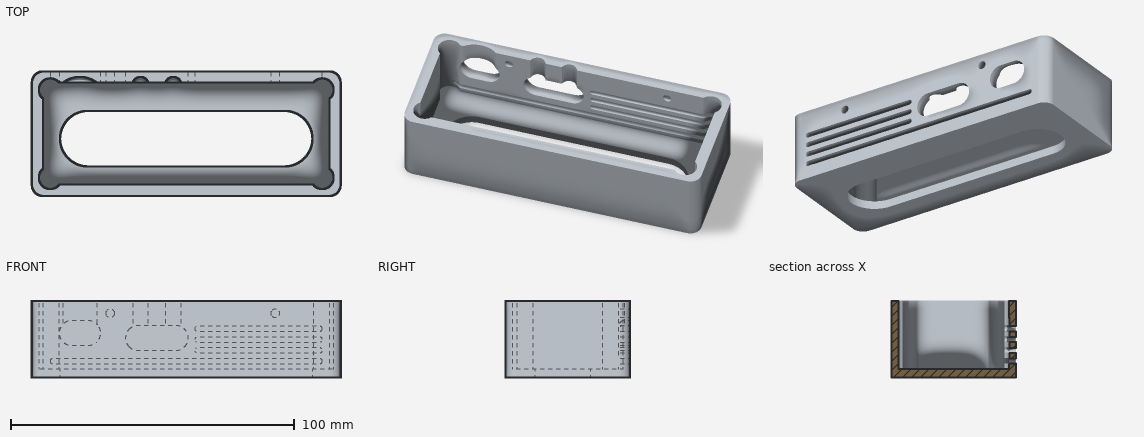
import cadquery as cq

length = 109.0
width = 44.0
height = 27.0
outer_radius = 4.0
wall = 4.0
floor = 3.0

relief_radius = 4.0
relief_inset = 6.5

opening_length = 88.9
opening_width = 19.5
opening_y = -1.7

window_height = 8.9
large_window_z = 14.0
recess_skin = 2.0
small_window_x = -37.5
small_window_z = 15.7
small_window_length = 14.5
small_recess_radius = 9.6
large_window_x = -10.4
large_window_length = 22.0
large_recess_radius = 2.8
large_recess_offset = 5.8

screw_diameter = 3.0
screw_z = height - 4.4
screw_positions = (-26.8, 31.4)

vent_height = 2.0
vent_pitch = 3.8
short_vent_count = 3
lowest_vent_z = 5.8
vent_start = 3.0
vent_end = 48.0

back_y = width / 2
cavity_length = length - 2 * wall
cavity_width = width - 2 * wall
cavity_depth = height - floor
relief_spacing_x = length - 2 * relief_inset
relief_spacing_y = width - 2 * relief_inset


def back_wall_plane(x, z):
    """Sketch plane on the outer back face, facing into the box."""
    return cq.Workplane(cq.Plane(origin=(x, back_y, z), xDir=(1, 0, 0), normal=(0, -1, 0)))


def back_wall_slot(x, z, slot_length, slot_height):
    """Horizontal round-ended cutter that spans the back wall and its corner reliefs."""
    return back_wall_plane(x, z).slot2D(slot_length, slot_height).extrude(wall)


def rim_recess(x, window_z, radius):
    """Vertical round recess from the rim to the window center, leaving a thin outer skin."""
    center_y = back_y - recess_skin - radius
    return cq.Workplane("XY", origin=(x, center_y, window_z)).circle(radius).extrude(height - window_z)


def make_shell():
    body = cq.Workplane("XY").box(length, width, height, centered=(True, True, False))
    body = body.edges("|Z").fillet(outer_radius)
    floor_plane = cq.Workplane("XY", origin=(0, 0, floor))
    cavity = floor_plane.rect(cavity_length, cavity_width).extrude(cavity_depth)
    reliefs = (
        floor_plane.rect(relief_spacing_x, relief_spacing_y, forConstruction=True)
        .vertices()
        .circle(relief_radius)
        .extrude(cavity_depth)
    )
    opening = cq.Workplane("XY").center(0, opening_y).slot2D(opening_length, opening_width).extrude(floor)
    return body.cut(cavity).cut(reliefs).cut(opening)


def cut_windows(body):
    body = body.cut(back_wall_slot(small_window_x, small_window_z, small_window_length, window_height))
    body = body.cut(rim_recess(small_window_x, small_window_z, small_recess_radius))
    body = body.cut(back_wall_slot(large_window_x, large_window_z, large_window_length, window_height))
    for side in (-1, 1):
        recess_x = large_window_x + side * large_recess_offset
        body = body.cut(rim_recess(recess_x, large_window_z, large_recess_radius))
    return body


def cut_screw_holes(body):
    for x in screw_positions:
        body = body.cut(back_wall_plane(x, screw_z).circle(screw_diameter / 2).extrude(wall))
    return body


def cut_vents(body):
    body = body.cut(back_wall_slot(0, lowest_vent_z, 2 * vent_end, vent_height))
    short_vent_x = (vent_start + vent_end) / 2
    for row in range(1, short_vent_count + 1):
        vent_z = lowest_vent_z + row * vent_pitch
        body = body.cut(back_wall_slot(short_vent_x, vent_z, vent_end - vent_start, vent_height))
    return body


result = cut_vents(cut_screw_holes(cut_windows(make_shell())))